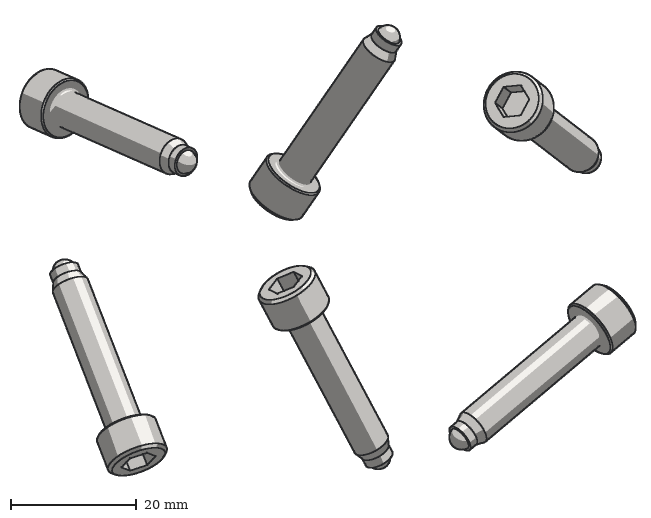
import cadquery as cq
import math

total_length = 36.8
head_diameter = 10.0
head_length = 6.0
head_chamfer = 0.5
head_rear_chamfer = 0.25

socket_across_flats = 5.0
socket_depth = 3.5

shank_diameter = 6.0
underhead_fillet = 0.45

pin_diameter = 4.8
pin_length = 1.5
neck_length = 1.47
ball_radius = 2.0
ball_projection = 1.62

pin_end = total_length - ball_projection
pin_start = pin_end - pin_length
shank_end = pin_start - neck_length


def make_screw_body():
    """Revolve the half profile about the X axis."""
    head_r = head_diameter / 2
    shank_r = shank_diameter / 2
    pin_r = pin_diameter / 2
    diagonal = math.sqrt(0.5)

    fillet_mid = (
        head_length + underhead_fillet * (1 - diagonal),
        shank_r + underhead_fillet * (1 - diagonal),
    )

    ball_center = total_length - ball_radius
    ball_angle = math.acos((pin_end - ball_center) / ball_radius)
    ball_edge_r = ball_radius * math.sin(ball_angle)
    ball_mid = (
        ball_center + ball_radius * math.cos(ball_angle / 2),
        ball_radius * math.sin(ball_angle / 2),
    )

    profile = (
        cq.Workplane("XY")
        .moveTo(0, 0)
        .lineTo(0, head_r - head_chamfer)
        .lineTo(head_chamfer, head_r)
        .lineTo(head_length - head_rear_chamfer, head_r)
        .lineTo(head_length, head_r - head_rear_chamfer)
        .lineTo(head_length, shank_r + underhead_fillet)
        .threePointArc(fillet_mid, (head_length + underhead_fillet, shank_r))
        .lineTo(shank_end, shank_r)
        .lineTo(pin_start, pin_r)
        .lineTo(pin_end, pin_r)
        .lineTo(pin_end, ball_edge_r)
        .threePointArc(ball_mid, (total_length, 0))
        .close()
    )
    return profile.revolve(360, (0, 0, 0), (1, 0, 0))


def make_socket():
    """Flat-bottomed hexagonal recess with two corners on the Y axis."""
    across_corners = socket_across_flats / math.cos(math.pi / 6)
    return cq.Workplane("YZ").polygon(6, across_corners).extrude(socket_depth)


result = make_screw_body().cut(make_socket())